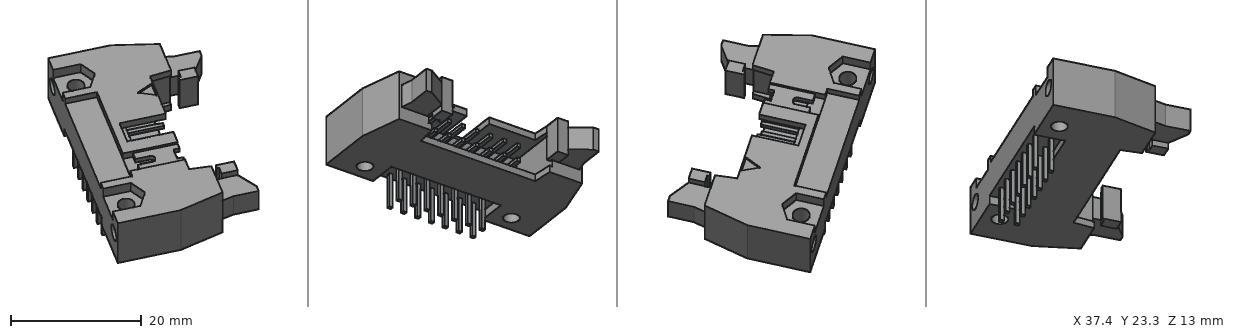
import cadquery as cq
import math


body_width = 37.4
body_height = 8.55
shoulder_y = 10.0
shroud_y = 13.8
tower_y = 17.25
tower_outer_x = 16.83
tower_inner_x = 10.85
tower_root_x = 10.5

wall = 1.2
cavity_floor_y = 7.4
cavity_half_width = 11.37

pitch = 2.55
pins_per_row = 7
pin_size = 0.65
pin_tip_y = 13.58
tail_length = 4.45
first_tail_y = 1.05

rear_step_width = 19.07
rear_step_y = 5.05
rear_step_depth = 1.12
tail_recess_width = 20.12
tail_recess_depth = 1.5

hole_diameter = 2.6
mount_x = 13.45
mount_y = 2.88
nut_across_flats = 5.2
nut_depth = 1.75
rear_hole_x = 16.53
rear_hole_z = 4.5
rear_hole_depth = 3.75

key_slot_width = 4.1
key_slot_y = 6.45
strip_x = 2.5 * pitch
strip_width = 3.95
strip_depth = 0.4
strip_step_y = 6.65
round_slot_width = 1.35
round_slot_end_y = 9.6
edge_notch_width = 2.02
edge_notch_length = 0.97

mark_size = 2.6
mark_depth = 0.3

latch_end_y = 23.3
latch_bend_y = 19.22
latch_outer_x = 15.85
latch_root_x = 16.35
latch_tip_x = 14.85
latch_inner_x = 11.65
latch_height = 3.95
hook_height = 6.05
hook_tip_x = 9.65
hook_lip_x = 10.32
hook_end_y = 21.2
hook_start_y = 18.63
hook_lip_y = 18.25


def block(x0, x1, y0, y1, z0, z1):
    """Box between two corners."""
    return cq.Workplane("XY").box(x1 - x0, y1 - y0, z1 - z0, centered=False).translate((x0, y0, z0))


def centered_block(x, width, y0, y1, z0, z1):
    """Box of the given width centered on x."""
    return block(x - width / 2, x + width / 2, y0, y1, z0, z1)


def prism(points, z0, z1):
    """Closed XY outline extruded from z0 to z1."""
    return cq.Workplane("XY").workplane(offset=z0).polyline(points).close().extrude(z1 - z0)


def make_housing():
    half_outline = [
        (body_width / 2, 0),
        (body_width / 2, shoulder_y),
        (tower_outer_x, tower_y),
        (tower_inner_x, tower_y),
        (tower_root_x, shroud_y),
    ]
    mirrored = [(-x, y) for x, y in reversed(half_outline)]
    housing = prism(half_outline + mirrored, 0, body_height)
    cavity = centered_block(0, 2 * cavity_half_width, cavity_floor_y, tower_y, wall, body_height - wall)
    rear_step = centered_block(0, rear_step_width, 0, rear_step_y, body_height - rear_step_depth, body_height)
    tail_recess = centered_block(0, tail_recess_width, 0, rear_step_y, 0, tail_recess_depth)
    return housing.cut(cavity).cut(rear_step).cut(tail_recess)


def mounting_cut(side):
    """Through hole under a nut pocket that opens to the rear, plus the rear blind hole."""
    x = side * mount_x
    pocket_z = body_height - nut_depth
    nut_corner = nut_across_flats / math.sqrt(3)
    nut = (
        cq.Workplane("XY").polygon(6, 2 * nut_corner).extrude(nut_depth)
        .rotate((0, 0, 0), (0, 0, 1), 90).translate((x, mount_y, pocket_z))
    )
    nut_entry = centered_block(x, nut_across_flats, 0, mount_y, pocket_z, body_height)
    hole = cq.Workplane("XY").center(x, mount_y).circle(hole_diameter / 2).extrude(body_height)
    rear_hole = (
        cq.Workplane("XZ").center(side * rear_hole_x, rear_hole_z)
        .circle(hole_diameter / 2).extrude(-rear_hole_depth)
    )
    return nut.union(nut_entry).union(hole).union(rear_hole)


def key_cut():
    """Central polarizing slot through the top wall."""
    return centered_block(0, key_slot_width, key_slot_y, shroud_y, body_height - wall, body_height)


def strip_cut():
    """Lowered strip with a rear step, a round-ended slot and a notch at the mating edge."""
    wall_z = body_height - wall
    slot_radius = round_slot_width / 2
    slot_arc_y = round_slot_end_y - slot_radius
    strip = centered_block(strip_x, strip_width, rear_step_y, shroud_y, body_height - strip_depth, body_height)
    step = centered_block(strip_x, strip_width, rear_step_y, strip_step_y, wall_z, body_height)
    slot = centered_block(strip_x, round_slot_width, strip_step_y, slot_arc_y, wall_z, body_height)
    slot_end = (
        cq.Workplane("XY").workplane(offset=wall_z).center(strip_x, slot_arc_y)
        .circle(slot_radius).extrude(wall)
    )
    notch = centered_block(
        strip_x, edge_notch_width, shroud_y - edge_notch_length, shroud_y, wall_z, body_height
    )
    return strip.union(step).union(slot).union(slot_end).union(notch)


def pin_one_mark():
    """Engraved triangle above the first pin, pointing to the rear."""
    x = -(pins_per_row - 1) / 2 * pitch
    points = [
        (x - mark_size / 2, pin_tip_y),
        (x + mark_size / 2, pin_tip_y),
        (x, pin_tip_y - mark_size),
    ]
    return prism(points, body_height - mark_depth, body_height)


def make_pin(x, tail_y, contact_z):
    """L-shaped pin; the tail sits at tail_y and the contact at contact_z."""
    half = pin_size / 2
    tail = centered_block(x, pin_size, tail_y - half, tail_y + half, -tail_length, contact_z + half)
    contact = centered_block(x, pin_size, tail_y - half, pin_tip_y, contact_z - half, contact_z + half)
    return tail.union(contact)


def make_latch():
    """Latch lever on the +X side, centered on the housing height."""
    middle = body_height / 2
    lever_points = [
        (latch_inner_x, tower_y),
        (latch_root_x, tower_y),
        (latch_outer_x, latch_bend_y),
        (latch_outer_x, latch_end_y),
        (latch_tip_x, latch_end_y),
        (latch_inner_x, hook_end_y),
    ]
    hook_points = [
        (latch_inner_x, hook_end_y),
        (hook_tip_x, hook_end_y),
        (hook_tip_x, hook_lip_y),
        (hook_lip_x, hook_lip_y),
        (hook_lip_x, hook_start_y),
        (latch_inner_x, hook_start_y),
    ]
    lever = prism(lever_points, middle - latch_height / 2, middle + latch_height / 2)
    hook = prism(hook_points, middle - hook_height / 2, middle + hook_height / 2)
    return lever.union(hook)


result = make_housing().cut(key_cut()).cut(strip_cut()).cut(pin_one_mark())
for side in (-1, 1):
    result = result.cut(mounting_cut(side))

for row in range(2):
    tail_y = first_tail_y + row * pitch
    contact_z = body_height / 2 + (0.5 - row) * pitch
    for column in range(pins_per_row):
        pin_x = (column - (pins_per_row - 1) / 2) * pitch
        result = result.union(make_pin(pin_x, tail_y, contact_z))

latch = make_latch()
result = result.union(latch).union(latch.mirror("YZ"))